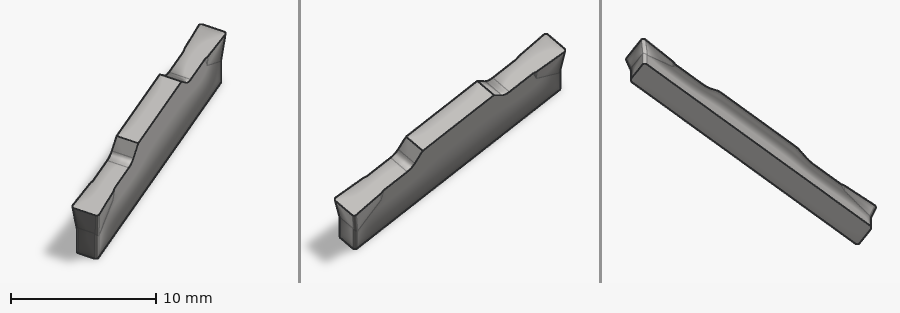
import cadquery as cq
import math

length = 20.25
total_height = 5.5
land_height = 4.45
body_width = 1.65
body_length = 19.71
body_corner_radius = 0.22
plateau_length = 6.78
ramp_angle = math.radians(45)
ramp_root_radius = 1.01

head_corner_radius = 0.2
head_base_z = 1.62
end_break_z = 2.43
crease_low_y = 9.65
crease_low_z = 2.06
crease_high_y = 7.4
crease_high_z = 3.58
relief_end_y = 7.1
flank_rise_y = 0.051

half_width = body_width / 2
half_length = length / 2
crease_slope = (crease_high_z - crease_low_z) / (crease_low_y - crease_high_y)
flank_rise_z = flank_rise_y / crease_slope
end_lean = (half_length - body_length / 2) / (land_height - end_break_z)


def flank_x(y, z):
    """Half width of the head on its flat flank."""
    return half_width + flank_rise_y * (y - crease_low_y) + flank_rise_z * (z - crease_low_z)


def polyhedron(faces):
    """Solid bounded by flat faces, each given as a loop of points."""
    flat_faces = [
        cq.Face.makeFromWires(cq.Wire.makePolygon([cq.Vector(*p) for p in loop], close=True))
        for loop in faces
    ]
    return cq.Workplane(obj=cq.Solid.makeSolid(cq.Shell.makeShell(flat_faces)))


def make_body():
    block = (
        cq.Workplane("XY")
        .box(body_width, body_length, land_height, centered=(True, True, False))
        .edges("|Z")
        .fillet(body_corner_radius)
    )
    ramp_height = total_height - land_height
    plateau_y = plateau_length / 2
    foot_y = plateau_y + ramp_height / math.tan(ramp_angle)
    tangent_length = ramp_root_radius * math.tan(ramp_angle / 2)
    arc_end_y = foot_y + tangent_length
    arc_start_y = foot_y - tangent_length * math.cos(ramp_angle)
    arc_start_z = land_height + tangent_length * math.sin(ramp_angle)
    arc_mid_y = arc_end_y - ramp_root_radius * math.sin(ramp_angle / 2)
    arc_mid_z = land_height + ramp_root_radius * (1 - math.cos(ramp_angle / 2))
    raised_middle = (
        cq.Workplane("YZ")
        .moveTo(-arc_end_y, 0)
        .lineTo(arc_end_y, 0)
        .lineTo(arc_end_y, land_height)
        .threePointArc((arc_mid_y, arc_mid_z), (arc_start_y, arc_start_z))
        .lineTo(plateau_y, total_height)
        .lineTo(-plateau_y, total_height)
        .lineTo(-arc_start_y, arc_start_z)
        .threePointArc((-arc_mid_y, arc_mid_z), (-arc_end_y, land_height))
        .close()
        .extrude(half_width, both=True)
    )
    return block.union(raised_middle)


def make_head():
    """Flared head at the +Y end, rounded where the flanks meet the end face."""
    base_end_y = half_length - end_lean * (land_height - head_base_z)
    side_outline = [
        (crease_high_y, head_base_z),
        (base_end_y, head_base_z),
        (half_length, land_height),
        (crease_high_y, land_height),
    ]
    right = [(flank_x(y, z), y, z) for y, z in side_outline]
    left = [(-x, y, z) for x, y, z in right]
    faces = [right, left]
    for i in range(len(right)):
        j = (i + 1) % len(right)
        faces.append([right[i], right[j], left[j], left[i]])
    return polyhedron(faces).faces(">Y").edges("not |X").fillet(head_corner_radius)


def make_relief(side):
    """Small wedge that fades the inner end of one flank into the body side."""
    low = (side * half_width, crease_high_y, crease_high_z)
    inner = (side * half_width, relief_end_y, land_height)
    outer = (side * flank_x(crease_high_y, land_height), crease_high_y, land_height)
    core = (0, crease_high_y, land_height)
    return polyhedron(
        [[low, inner, outer], [low, inner, core], [low, outer, core], [inner, outer, core]]
    )


head = make_head()
for side in (-1, 1):
    head = head.union(make_relief(side))

result = make_body().union(head).union(head.mirror("XZ")).clean()